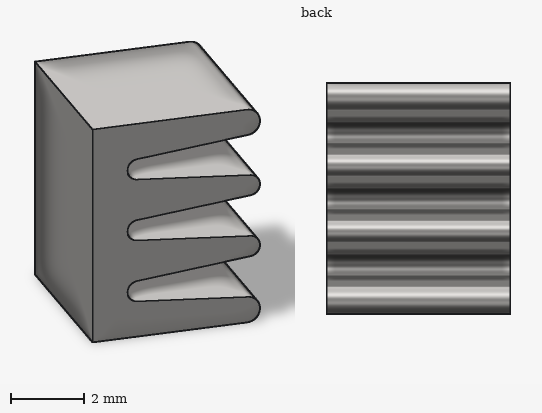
import cadquery as cq
import math

width = 5.0
depth = 4.81
height = 6.3
base_thickness = 1.0
slot_count = 3
slot_pitch = 1.8
round_radius = 0.3

half_height = height / 2
slot_centers = [(i - (slot_count - 1) / 2) * slot_pitch for i in range(slot_count)]
root_y = base_thickness + round_radius
tip_y = depth - round_radius

center_run = tip_y - root_y
center_rise = slot_pitch / 2
taper = math.atan2(center_rise, center_run) - math.asin(
    2 * round_radius / math.hypot(center_run, center_rise)
)
sin_taper = math.sin(taper)
cos_taper = math.cos(taper)

wall_height_at_tip = (
    slot_centers[-1] + round_radius / cos_taper + (depth - root_y) * math.tan(taper)
)
outer_radius = cos_taper * (half_height - wall_height_at_tip) / (1 + cos_taper - sin_taper)
outer_y = depth - outer_radius
outer_z = half_height - outer_radius


def wall_point(center_y, center_z, radius, side, toward_tip):
    """Point where a round meets a slot wall.

    side is +1 above the round's center and -1 below it. toward_tip is +1 for
    a fin tip and -1 for a slot bottom.
    """
    return (
        center_y + toward_tip * radius * sin_taper,
        center_z + side * radius * cos_taper,
    )


def slot_wall_point(slot_z, side):
    return wall_point(root_y, slot_z, round_radius, side, -1)


def fin_wall_point(center_y, center_z, radius, side):
    return wall_point(center_y, center_z, radius, side, 1)


profile = (
    cq.Workplane("YZ")
    .moveTo(0, -half_height)
    .lineTo(outer_y, -half_height)
    .threePointArc((depth, -outer_z), fin_wall_point(outer_y, -outer_z, outer_radius, 1))
)
for index, slot_z in enumerate(slot_centers):
    profile = (
        profile.lineTo(*slot_wall_point(slot_z, -1))
        .threePointArc((base_thickness, slot_z), slot_wall_point(slot_z, 1))
    )
    if index < slot_count - 1:
        fin_z = slot_z + slot_pitch / 2
        profile = (
            profile.lineTo(*fin_wall_point(tip_y, fin_z, round_radius, -1))
            .threePointArc((depth, fin_z), fin_wall_point(tip_y, fin_z, round_radius, 1))
        )
profile = (
    profile.lineTo(*fin_wall_point(outer_y, outer_z, outer_radius, -1))
    .threePointArc((depth, outer_z), (outer_y, half_height))
    .lineTo(0, half_height)
    .close()
)

result = profile.extrude(width / 2, both=True)